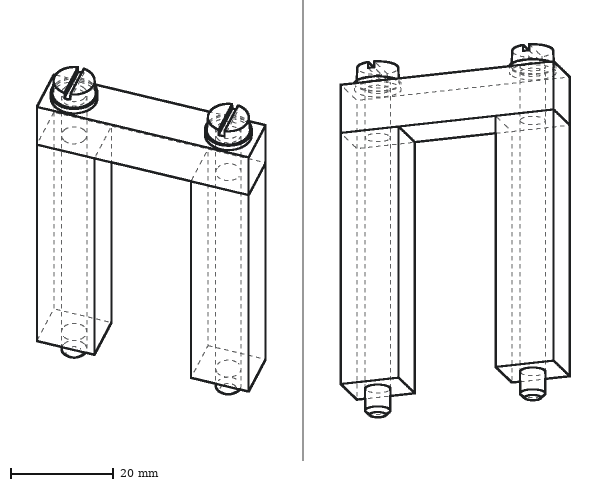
import cadquery as cq

frame_width = 44.0
frame_depth = 10.0
leg_width = 12.0
leg_height = 52.0
bar_height = 10.0

screw_spacing = frame_width - leg_width
shank_diameter = 4.95
tip_length = 5.4
tip_chamfer = 0.85
head_base_diameter = 8.5
head_top_diameter = 8.05
head_height = 3.3
slot_width = 1.2
slot_depth = 1.3

washer_diameter = 9.2
washer_height = 1.15

leg_bottom = tip_length
bar_bottom = leg_bottom + leg_height
bar_top = bar_bottom + bar_height
head_bottom = bar_top + washer_height
head_top = head_bottom + head_height

screw_positions = [-screw_spacing / 2, screw_spacing / 2]


def make_block(width, depth, height, x, bottom):
    """Rectangular block centred on x and on the frame's mid-depth, standing on the given level."""
    return cq.Workplane("XY", origin=(x, 0, bottom)).box(
        width, depth, height, centered=(True, True, False)
    )


def make_cylinder(diameter, height, x, bottom):
    """Upright cylinder on the line of the screws."""
    return cq.Workplane("XY", origin=(x, 0, bottom)).circle(diameter / 2).extrude(height)


def make_leg(x):
    """Leg with a full-length hole for the screw shank."""
    leg = make_block(leg_width, frame_depth, leg_height, x, leg_bottom)
    return leg.cut(make_cylinder(shank_diameter, leg_height, x, leg_bottom))


def make_bar():
    """Cross bar across both legs, with a hole for each screw."""
    bar = make_block(frame_width, frame_depth, bar_height, 0, bar_bottom)
    for x in screw_positions:
        bar = bar.cut(make_cylinder(shank_diameter, bar_height, x, bar_bottom))
    return bar


def make_washer(x):
    """Flat ring that fits around the screw shank."""
    washer = make_cylinder(washer_diameter, washer_height, x, bar_top)
    return washer.cut(make_cylinder(shank_diameter, washer_height, x, bar_top))


def make_screw(x):
    """Slotted screw with a tapered head and a chamfered tip."""
    shank_radius = shank_diameter / 2
    profile = [
        (0, 0),
        (shank_radius - tip_chamfer, 0),
        (shank_radius, tip_chamfer),
        (shank_radius, head_bottom),
        (head_base_diameter / 2, head_bottom),
        (head_top_diameter / 2, head_top),
        (0, head_top),
    ]
    screw = cq.Workplane("XZ").polyline(profile).close().revolve(360, (0, 0), (0, 1))
    slot = make_block(slot_width, head_base_diameter, slot_depth, 0, head_top - slot_depth)
    return screw.cut(slot).translate((x, 0, 0))


bar = make_bar()
legs = [make_leg(x) for x in screw_positions]
washers = [make_washer(x) for x in screw_positions]
screws = [make_screw(x) for x in screw_positions]

bodies = [bar, *legs, *washers, *screws]
result = cq.Compound.makeCompound([body.val() for body in bodies])